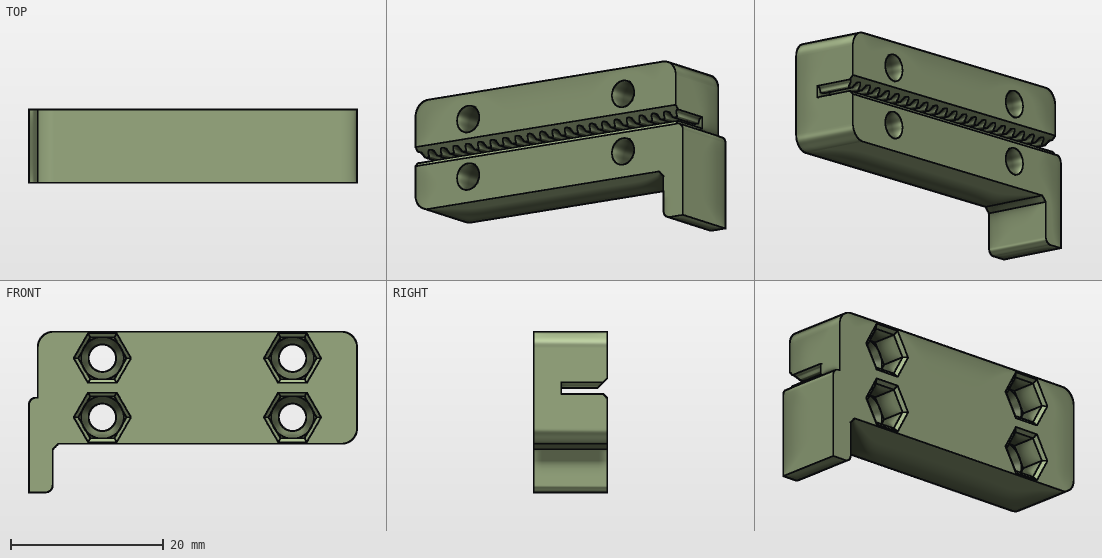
import cadquery as cq
import math

length = 43.15
thickness = 9.65
height = 21.15

block_left = 1.15
block_bottom = 6.4
block_corner_radius = 2.07

leg_right = 3.15
ledge_height = 12.48
small_radius = 0.95
inner_chamfer = 0.75

slot_depth = 6.05
slot_floor = 12.95
slot_gap = 0.78
slot_roof = slot_floor + slot_gap
roof_lead_in = 1.3
floor_lead_in = 0.5

tooth_count = 21
tooth_pitch = (length - block_left) / tooth_count
tooth_depth = 0.78
tip_radius = 0.55
flank_radius = 1.0
mouth_radius = 0.15

hole_spacing_x = 25.0
hole_spacing_z = 7.75
hole_left = 9.65
hole_diameter = 3.6
nut_flats = 5.5
nut_depth = 4.0
nut_chamfer = 0.5
nut_chamfer_depth = 0.45
cone_diameter = 5.6
cone_depth = (cone_diameter - hole_diameter) / 2


def make_body():
    """Block and leg outline, extruded from the front face to the back face."""
    block = (
        cq.Workplane("XY")
        .box(length - block_left, thickness, height - block_bottom, centered=False)
        .edges("|Y")
        .edges(">X or >Z")
        .fillet(block_corner_radius)
        .translate((block_left, 0, block_bottom))
    )
    leg = (
        cq.Workplane("XY")
        .box(leg_right, thickness, ledge_height, centered=False)
        .edges("|Y")
        .edges("(<X and >Z) or (>X and <Z)")
        .fillet(small_radius)
    )
    inner_corner = cq.selectors.NearestToPointSelector((leg_right, thickness / 2, block_bottom))
    return block.union(leg).edges("|Y").edges(inner_corner).chamfer(inner_chamfer)


def make_slot():
    """Flat belt slot with a chamfered mouth at the back face."""
    slot_end = thickness - slot_depth
    profile = [
        (slot_end, slot_floor),
        (thickness - floor_lead_in, slot_floor),
        (thickness, slot_floor - floor_lead_in),
        (thickness, slot_roof + roof_lead_in),
        (thickness - roof_lead_in, slot_roof),
        (slot_end, slot_roof),
    ]
    start = cq.Workplane("YZ", origin=(block_left, 0, 0))
    return start.polyline(profile).close().extrude(length - block_left)


def make_tooth_groove(center_x):
    """One belt tooth groove; every arc of its profile is tangent to the next."""
    tip_center = tooth_depth - tip_radius
    flank_offset = math.sqrt((flank_radius - tip_radius) ** 2 - tip_center**2)
    tip_ratio = tip_radius / (flank_radius - tip_radius)
    tip_end_x = flank_offset * tip_ratio
    tip_end_z = tip_center + tip_center * tip_ratio
    mouth_x = math.sqrt((flank_radius + mouth_radius) ** 2 - mouth_radius**2)
    mouth_angle = math.atan2(mouth_radius, mouth_x)
    flank_end_x = flank_radius * math.cos(mouth_angle) - flank_offset
    flank_end_z = flank_radius * math.sin(mouth_angle)
    mouth_end_x = mouth_x - flank_offset

    tip_angle = math.atan2(tip_center, flank_offset)
    flank_mid_angle = (tip_angle + mouth_angle) / 2
    flank_mid_x = flank_radius * math.cos(flank_mid_angle) - flank_offset
    flank_mid_z = flank_radius * math.sin(flank_mid_angle)
    mouth_mid_angle = (math.pi / 2 + mouth_angle) / 2
    mouth_mid_x = mouth_end_x - mouth_radius * math.cos(mouth_mid_angle)
    mouth_mid_z = mouth_radius - mouth_radius * math.sin(mouth_mid_angle)

    slot_end = thickness - slot_depth
    return (
        cq.Workplane("XZ", origin=(center_x, slot_end, slot_roof))
        .moveTo(-mouth_end_x, 0)
        .threePointArc((-mouth_mid_x, mouth_mid_z), (-flank_end_x, flank_end_z))
        .threePointArc((-flank_mid_x, flank_mid_z), (-tip_end_x, tip_end_z))
        .threePointArc((0, tooth_depth), (tip_end_x, tip_end_z))
        .threePointArc((flank_mid_x, flank_mid_z), (flank_end_x, flank_end_z))
        .threePointArc((mouth_mid_x, mouth_mid_z), (mouth_end_x, 0))
        .close()
        .extrude(-slot_depth)
    )


def hexagon(across_flats):
    """Hexagon outline on the front face, with two flats level."""
    across_corners = across_flats / math.cos(math.pi / 6)
    return cq.Workplane("XZ").polygon(6, across_corners)


def make_nut_hole():
    """Through hole, tapered seat and chamfered hexagonal pocket on the Y axis."""
    pocket = hexagon(nut_flats).extrude(-nut_depth)
    chamfer_angle = math.degrees(math.atan2(nut_chamfer, nut_chamfer_depth))
    chamfer = hexagon(nut_flats + 2 * nut_chamfer).extrude(-nut_chamfer_depth, taper=chamfer_angle)
    seat = cq.Workplane(
        cq.Solid.makeCone(
            cone_diameter / 2,
            hole_diameter / 2,
            cone_depth,
            pnt=cq.Vector(0, nut_depth, 0),
            dir=cq.Vector(0, 1, 0),
        )
    )
    hole = cq.Workplane("XZ").circle(hole_diameter / 2).extrude(-thickness)
    return pocket.union(chamfer).union(seat).union(hole)


body = make_body().cut(make_slot())

for index in range(tooth_count + 1):
    body = body.cut(make_tooth_groove(block_left + index * tooth_pitch))

hole_middle_z = (block_bottom + height) / 2
nut_hole = make_nut_hole()
for x in (hole_left, hole_left + hole_spacing_x):
    for side in (-1, 1):
        body = body.cut(nut_hole.translate((x, 0, hole_middle_z + side * hole_spacing_z / 2)))

result = body